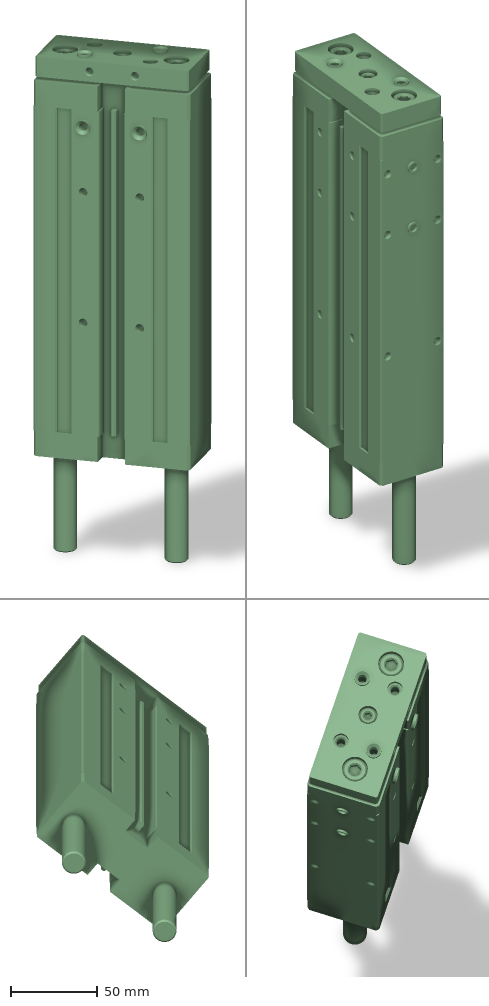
import cadquery as cq
import math


BOTTOM_COVER_Z = 62.0
BARREL_Z = 77.3
HEAD_COVER_Z = 276.5
HEAD_TOP_Z = 291.8
PLATE_Z = 294.0
PLATE_TOP_Z = 306.3

HOUSING_WIDTH = 95.0
HOUSING_DEPTH = 44.0
COVER_CHAMFER = 1.5
BARREL_CHAMFER = 0.77
NOTCH_DEPTH = 9.2
COVER_NOTCH_WIDTH = 16.5
BARREL_SLOT_WIDTH = 14.8
SLOT_RIB_WIDTH = 3.0
SLOT_RIB_SETBACK = 3.0
GROOVE_WIDTH = 8.3
GROOVE_DEPTH = 1.5
GROOVE_X = 29.2

PLATE_WIDTH = 93.3
PLATE_DEPTH = 42.0
PLATE_CHAMFER = 1.0
GUIDE_DIAMETER = 14.0
GUIDE_X = 34.0
GUIDE_Y = -3.0
GUIDE_END_CHAMFER = 1.0
PISTON_ROD_DIAMETER = 10.0
ROD_RECESS_DEPTH = 3.5
ROD_TOP_SETBACK = 1.5
ROD_RECESS_CLEARANCE = 1.2
ROD_TOP_CHAMFER = 1.0
GUIDE_SOCKET_FLATS = 6.5
PISTON_SOCKET_FLATS = 4.0
SOCKET_RIM_CLEARANCE = 2.2
SOCKET_DEPTH = 3.7

HOLE_PITCH_Z = 40.0
HOLE_TOP_Z = 266.2
HOLE_LEVELS = [HOLE_TOP_Z, HOLE_TOP_Z - HOLE_PITCH_Z, HOLE_TOP_Z - 3 * HOLE_PITCH_Z]
PORT_LEVELS = HOLE_LEVELS[:2]
HOLE_OFFSET = 17.2
THROUGH_HOLE_DIAMETER = 5.2
THREAD_DIAMETER = 4.3
THREAD_RIM_DIAMETER = 5.2
THREAD_DEPTH = 9.2
DRILL_POINT_ANGLE = 118.0
PLATE_SIDE_HOLE_X = 14.0
PLATE_TOP_HOLE_PITCH = 20.0
PLATE_TOP_HOLE_DIAMETER = 5.0
PLATE_TOP_HOLE_RIM_DIAMETER = 6.8

SLEEVE_DIAMETER = 9.0
SLEEVE_BORE = 5.0
SLEEVE_RIM_DIAMETER = 8.3
SLEEVE_LENGTH = 4.0
PLATE_SLEEVE_PROTRUSION = 1.5
BARREL_SLEEVE_PROTRUSION = 2.0
PLUG_DIAMETER = 6.8
PLUG_LENGTH = 4.5
PLUG_PROTRUSION = 1.2
PLUG_RECESS_DIAMETER = 5.0
PLUG_RECESS_DEPTH = 2.0

BARREL_SLEEVE_DEPTH = SLEEVE_LENGTH - BARREL_SLEEVE_PROTRUSION
PLATE_SLEEVE_DEPTH = SLEEVE_LENGTH - PLATE_SLEEVE_PROTRUSION
PLUG_DEPTH = PLUG_LENGTH - PLUG_PROTRUSION

FRONT_Y = -HOUSING_DEPTH / 2
LEFT_X = -HOUSING_WIDTH / 2
PLATE_FRONT_Y = -PLATE_DEPTH / 2
ALONG_X = cq.Vector(1, 0, 0)
ALONG_Y = cq.Vector(0, 1, 0)
ALONG_Z = cq.Vector(0, 0, 1)
DOWN = cq.Vector(0, 0, -1)

BARREL_SLEEVE_POINTS = [(side * HOLE_OFFSET, FRONT_Y, HOLE_TOP_Z) for side in (-1, 1)]
PLATE_SLEEVE_POINTS = [
    (side * PLATE_TOP_HOLE_PITCH, side * PLATE_TOP_HOLE_PITCH / 2, PLATE_TOP_Z) for side in (-1, 1)
]
PLUG_POINTS = [(LEFT_X, 0, z) for z in PORT_LEVELS]


def block(width, depth, bottom, top):
    """Upright block centred on X = Y = 0."""
    return cq.Workplane("XY", origin=(0, 0, bottom)).rect(width, depth).extrude(top - bottom)


def rod(diameter, length, start, direction):
    """Cylinder that begins at a point and runs in a direction."""
    return cq.Workplane(cq.Solid.makeCylinder(diameter / 2, length, cq.Vector(*start), direction))


def countersink(rim_diameter, hole_diameter, start, direction):
    """Tool for the 90 degree cone at the mouth of a hole."""
    depth = (rim_diameter - hole_diameter) / 2
    cone = cq.Solid.makeCone(rim_diameter / 2, hole_diameter / 2, depth, cq.Vector(*start), direction)
    return cq.Workplane(cone)


def threaded_hole(start, direction):
    """Blind hole tool with a countersunk mouth and a conical drill point."""
    radius = THREAD_DIAMETER / 2
    point_length = radius / math.tan(math.radians(DRILL_POINT_ANGLE / 2))
    bottom = cq.Vector(*start) + direction * THREAD_DEPTH
    point = cq.Solid.makeCone(radius, 0, point_length, bottom, direction)
    tool = rod(THREAD_DIAMETER, THREAD_DEPTH, start, direction).union(cq.Workplane(point))
    return tool.union(countersink(THREAD_RIM_DIAMETER, THREAD_DIAMETER, start, direction))


def face_slots(width, depth, bottom, top):
    """Vertical slots on the centre line of the front and back faces."""
    slots = cq.Workplane()
    for side in (-1, 1):
        center_y = side * (HOUSING_DEPTH - depth) / 2
        slots = slots.add(block(width, depth, bottom, top).translate((0, center_y, 0)))
    return slots.combine()


def guide_bores(bottom, top):
    """Pair of bores that the guide rods run in."""
    bores = cq.Workplane()
    for side in (-1, 1):
        bores = bores.add(rod(GUIDE_DIAMETER, top - bottom, (side * GUIDE_X, GUIDE_Y, bottom), ALONG_Z))
    return bores.combine()


def piston_rod(bottom, top):
    return rod(PISTON_ROD_DIAMETER, top - bottom, (0, 0, bottom), ALONG_Z)


def make_cover(bottom, top):
    """End cover with chamfered corners and a notch in the front and back."""
    cover = block(HOUSING_WIDTH, HOUSING_DEPTH, bottom, top).edges("|Z").chamfer(COVER_CHAMFER)
    cover = cover.cut(face_slots(COVER_NOTCH_WIDTH, NOTCH_DEPTH, bottom, top))
    return cover.cut(guide_bores(bottom, top))


def barrel_profile():
    """Barrel with slots, a rib inside each slot and shallow grooves, all with broken edges."""
    length_ends = (BARREL_Z, HEAD_COVER_Z)
    profile = block(HOUSING_WIDTH, HOUSING_DEPTH, *length_ends)
    profile = profile.cut(face_slots(BARREL_SLOT_WIDTH, NOTCH_DEPTH, *length_ends))
    for side in (-1, 1):
        grooves = face_slots(GROOVE_WIDTH, GROOVE_DEPTH, *length_ends)
        profile = profile.cut(grooves.translate((side * GROOVE_X, 0, 0)))
    for face in ("<Y", ">Y"):
        profile = profile.faces(face).edges("|Z").chamfer(BARREL_CHAMFER)
    rib = block(SLOT_RIB_WIDTH, HOUSING_DEPTH - 2 * SLOT_RIB_SETBACK, *length_ends)
    return profile.union(rib.edges("|Z").chamfer(BARREL_CHAMFER))


def make_barrel():
    barrel = barrel_profile()
    barrel = barrel.cut(guide_bores(BARREL_Z, HEAD_COVER_Z))
    barrel = barrel.cut(piston_rod(BARREL_Z, HEAD_COVER_Z))
    for z in HOLE_LEVELS:
        for side in (-1, 1):
            through = (side * HOLE_OFFSET, FRONT_Y, z)
            threaded = (LEFT_X, side * HOLE_OFFSET, z)
            barrel = barrel.cut(rod(THROUGH_HOLE_DIAMETER, HOUSING_DEPTH, through, ALONG_Y))
            barrel = barrel.cut(threaded_hole(threaded, ALONG_X))
    for point in BARREL_SLEEVE_POINTS:
        barrel = barrel.cut(rod(SLEEVE_DIAMETER, BARREL_SLEEVE_DEPTH, point, ALONG_Y))
    for point in PLUG_POINTS:
        barrel = barrel.cut(rod(PLUG_DIAMETER, PLUG_DEPTH, point, ALONG_X))
    return barrel


def hex_socket(flats, x, y, top):
    """Tool for a hexagon socket with a countersunk mouth."""
    across_corners = flats / math.cos(math.pi / 6)
    socket = cq.Workplane("XY", origin=(x, y, top - SOCKET_DEPTH)).polygon(6, across_corners)
    mouth = countersink(flats + SOCKET_RIM_CLEARANCE, flats, (x, y, top), DOWN)
    return socket.extrude(SOCKET_DEPTH).union(mouth)


def fit_rod_end(plate, diameter, flats, x, y):
    """Recess in the plate top with the chamfered end of a rod and its hexagon socket inside."""
    recess_bottom = (x, y, PLATE_TOP_Z - ROD_RECESS_DEPTH)
    end_height = ROD_RECESS_DEPTH - ROD_TOP_SETBACK
    recess = rod(diameter + ROD_RECESS_CLEARANCE, ROD_RECESS_DEPTH, recess_bottom, ALONG_Z)
    rod_end = rod(diameter, end_height, recess_bottom, ALONG_Z).faces(">Z").chamfer(ROD_TOP_CHAMFER)
    socket = hex_socket(flats, x, y, PLATE_TOP_Z - ROD_TOP_SETBACK)
    return plate.cut(recess).union(rod_end).cut(socket)


def make_plate():
    plate = block(PLATE_WIDTH, PLATE_DEPTH, PLATE_Z, PLATE_TOP_Z).edges("|Z").chamfer(PLATE_CHAMFER)
    for x_side in (-1, 1):
        front_hole = (x_side * PLATE_SIDE_HOLE_X, PLATE_FRONT_Y, (PLATE_Z + PLATE_TOP_Z) / 2)
        plate = plate.cut(threaded_hole(front_hole, ALONG_Y))
        for y_side in (-1, 1):
            top_hole = (x_side * PLATE_TOP_HOLE_PITCH, y_side * PLATE_TOP_HOLE_PITCH / 2, PLATE_TOP_Z)
            plate = plate.cut(rod(PLATE_TOP_HOLE_DIAMETER, PLATE_TOP_Z - PLATE_Z, top_hole, DOWN))
            plate = plate.cut(rod(SLEEVE_DIAMETER, PLATE_SLEEVE_DEPTH, top_hole, DOWN))
            seat = (*top_hole[:2], PLATE_TOP_Z - PLATE_SLEEVE_DEPTH)
            plate = plate.cut(countersink(PLATE_TOP_HOLE_RIM_DIAMETER, PLATE_TOP_HOLE_DIAMETER, seat, DOWN))
        plate = fit_rod_end(plate, GUIDE_DIAMETER, GUIDE_SOCKET_FLATS, x_side * GUIDE_X, GUIDE_Y)
    return fit_rod_end(plate, PISTON_ROD_DIAMETER, PISTON_SOCKET_FLATS, 0, 0)


def make_yoke():
    """Plate in one piece with its two guide rods and the piston rod."""
    guides = guide_bores(0, PLATE_Z).faces("<Z").chamfer(GUIDE_END_CHAMFER)
    return make_plate().union(guides).union(piston_rod(BARREL_Z, PLATE_Z))


def make_sleeve(seat, protrusion, inward):
    """Centring sleeve that stands proud of its seat, countersunk at its outer end."""
    start = (cq.Vector(*seat) - inward * protrusion).toTuple()
    sleeve = rod(SLEEVE_DIAMETER, SLEEVE_LENGTH, start, inward)
    sleeve = sleeve.cut(rod(SLEEVE_BORE, SLEEVE_LENGTH, start, inward))
    return sleeve.cut(countersink(SLEEVE_RIM_DIAMETER, SLEEVE_BORE, start, inward))


def make_plug(seat):
    """Port plug that stands proud of the side, with a round recess in its outer end."""
    x, y, z = seat
    start = (x - PLUG_PROTRUSION, y, z)
    plug = rod(PLUG_DIAMETER, PLUG_LENGTH, start, ALONG_X)
    return plug.cut(rod(PLUG_RECESS_DIAMETER, PLUG_RECESS_DEPTH, start, ALONG_X))


barrel = make_barrel()
bottom_cover = make_cover(BOTTOM_COVER_Z, BARREL_Z)
head_cover = make_cover(HEAD_COVER_Z, HEAD_TOP_Z).cut(piston_rod(HEAD_COVER_Z, HEAD_TOP_Z))
yoke = make_yoke()
barrel_sleeves = [make_sleeve(point, BARREL_SLEEVE_PROTRUSION, ALONG_Y) for point in BARREL_SLEEVE_POINTS]
plate_sleeves = [make_sleeve(point, PLATE_SLEEVE_PROTRUSION, DOWN) for point in PLATE_SLEEVE_POINTS]
plugs = [make_plug(point) for point in PLUG_POINTS]

bodies = [barrel, bottom_cover, head_cover, yoke, *barrel_sleeves, *plate_sleeves, *plugs]
result = cq.Compound.makeCompound([body.val() for body in bodies])